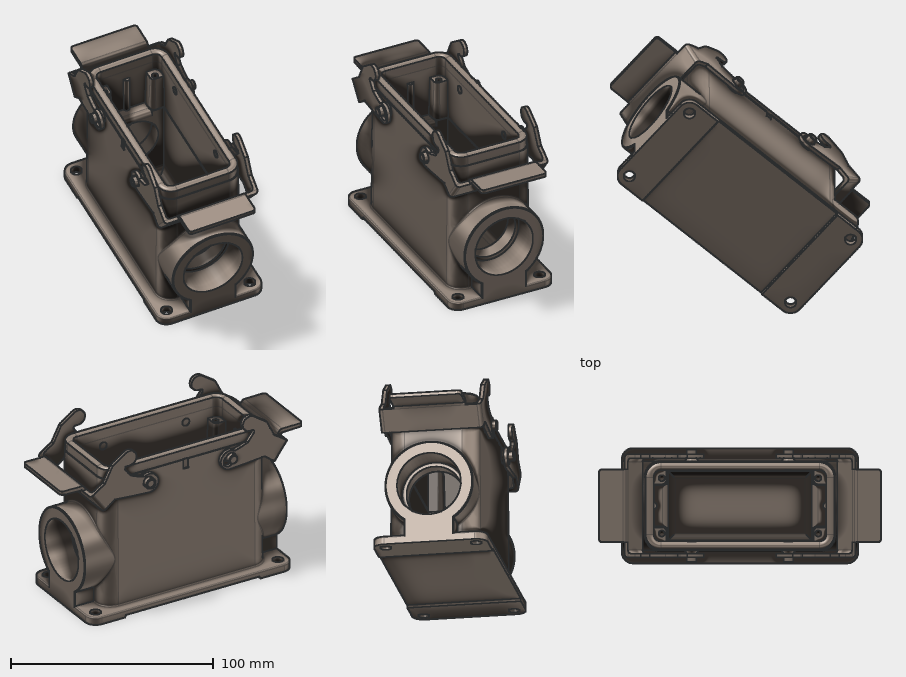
import cadquery as cq
import math

BASE_HALF_X = 58.4
BASE_WIDTH = 57.0
BASE_HALF_Y = BASE_WIDTH / 2
BASE_HEIGHT = 4.2
BASE_CORNER_RADIUS = 5.9
BASE_EDGE_RADIUS = 0.5
MOUNT_HOLE_DIAMETER = 5.6
MOUNT_HOLE_X = BASE_HALF_X - BASE_CORNER_RADIUS
MOUNT_HOLE_Y = BASE_HALF_Y - BASE_CORNER_RADIUS
RELIEF_HALF_X = 39.0
RELIEF_DEPTH = 1.3
RELIEF_END_SLOPE = 0.5

BODY_TOP_HALF_X = 46.8
BODY_TOP_HALF_Y = 21.9
BODY_CORNER_RADIUS = 7.5
BODY_TOP = 75.0
BODY_DRAFT = 0.5
BODY_FOOT_HALF_X = BODY_TOP_HALF_X + BODY_DRAFT
BODY_FOOT_HALF_Y = BODY_TOP_HALF_Y + BODY_DRAFT
BODY_FOOT_RADIUS = 0.7

RIM_HALF_X = 46.5
RIM_HALF_Y = 21.5
RIM_CORNER_RADIUS = 7.4
RIM_SHOULDER = 80.2
RIM_TOP = 81.1
RIM_WALL = 3.9

UPPER_HALF_X = RIM_HALF_X - RIM_WALL
UPPER_HALF_Y = RIM_HALF_Y - RIM_WALL
UPPER_CORNER_RADIUS = RIM_CORNER_RADIUS - RIM_WALL
UPPER_DRAFT = 0.3
LEDGE_HEIGHT = 48.1
LEDGE_EDGE_RADIUS = 2.9
LOWER_HALF_X = 35.4
LOWER_HALF_Y = 17.0
FLOOR_HEIGHT = 4.2
FLOOR_RADIUS = 3.5
POST_INNER_X = 36.4
POST_INNER_Y = 10.7
POST_TOP = 69.3
POST_CORNER_RADIUS = 2.0
POST_DRAFT = 0.7
POST_HOLE_DIAMETER = 3.0
POST_HOLE_DEPTH = 11.2
POST_HOLE_X = 38.6
POST_HOLE_Y = 13.7
END_RIB_RADIUS = 1.7

ENTRY_HEIGHT = 30.3
ENTRY_RADIUS = 22.0
ENTRY_EDGE_CHAMFER = 0.4
ENTRY_ROOT_RADIUS = 0.7
ENTRY_BORE_DIAMETER = 28.0
ENTRY_COUNTERBORE_DIAMETER = 32.0
ENTRY_COUNTERBORE_END_X = 43.2
ENTRY_WEB_HALF_Y = 12.4

GROOVE_WIDTH = 2.9
GROOVE_LENGTH = 5.2
GROOVE_DEPTH = 0.7

PIN_X = 23.8
PIN_HEIGHT = 70.7
PIN_DIAMETER = 4.7
PIN_END_DIAMETER = 4.0
PIN_END_Y = 28.0
PIN_INNER_RECESS = 0.1
COLLAR_DIAMETER = 7.0

SHEET = 2.0
LEVER_HALF_Y = 25.5
LEVER_INNER_Y = LEVER_HALF_Y - SHEET
LEVER_BEND_RADIUS = 1.8
EYE_X = -23.1
EYE_HEIGHT = 69.7
EYE_RADIUS = 5.2
SLOT_WIDTH = 5.6
SLOT_TRAVEL_X = 1.5
SLOT_TRAVEL_Z = -1.7
HOOK_X = -34.7
HOOK_RADIUS = 4.0
LEVER_TOP = 90.9
HOOK_HEIGHT = LEVER_TOP - HOOK_RADIUS
ARM_BACK = [(-51.9, 74.5), (-49.0, 76.3), (-44.5, 85.0), (-37.0, 90.2)]
HOOK_THROAT = [(-36.1, 82.8), (-37.2, 82.0), (-36.8, 80.9)]
ARM_FRONT = [(-33.6, 76.7), (-29.7, 75.1), (-26.0, 74.0)]
ARM_UNDERSIDE = [(-31.6, 65.1), (-43.1, 66.1)]
BAR_TOP_X = -56.9
BAR_TOP_Z = 70.8
BAR_BOTTOM_X = -49.6
BAR_BOTTOM_Z = 61.0
BAR_RUN_X = BAR_BOTTOM_X - BAR_TOP_X
BAR_RUN_Z = BAR_BOTTOM_Z - BAR_TOP_Z
BAR_RUN = math.hypot(BAR_RUN_X, BAR_RUN_Z)
BAR_INSET_X = -SHEET * BAR_RUN_Z / BAR_RUN
BAR_INSET_Z = SHEET * BAR_RUN_X / BAR_RUN
TAB_END_X = -69.7
TAB_TOP_Z = 74.2
TAB_ROOT_X = -57.6
TAB_ROOT_Z = 71.8
TAB_KNEE_X = -56.9
TAB_KNEE_Z = 74.0
TAB_HALF_Y = 18.0
TAB_CORNER_RADIUS = 1.7
TAB_KNEE_RADIUS = 2.1

SIDES = (-1, 1)
MIDDLE_OF_QUARTER = math.sqrt(0.5)
CLEAR = 1.4
CLOSE = 0.3


def rounded_block(half_x, half_y, bottom, top, radius):
    block = cq.Workplane("XY").box(2 * half_x, 2 * half_y, top - bottom, centered=(True, True, False))
    return block.edges("|Z").fillet(radius).translate((0, 0, bottom))


def drafted_block(half_x, half_y, start, end, radius, inset):
    """Rounded block, sized at `start`, whose walls lean in by `inset` (out if negative) towards `end`."""
    angle = math.degrees(math.atan(inset / abs(end - start)))
    outline = cq.Sketch().rect(2 * half_x, 2 * half_y).vertices().fillet(radius)
    return cq.Workplane("XY").workplane(offset=start).placeSketch(outline).extrude(end - start, taper=angle)


def make_base():
    base = rounded_block(BASE_HALF_X, BASE_HALF_Y, 0, BASE_HEIGHT, BASE_CORNER_RADIUS)
    return base.faces(">Z").edges().fillet(BASE_EDGE_RADIUS)


def make_rim():
    """Straight collar closed by a shallow arch that runs along the whole rim."""
    collar = rounded_block(RIM_HALF_X, RIM_HALF_Y, LEDGE_HEIGHT, RIM_SHOULDER, RIM_CORNER_RADIUS)
    middle = RIM_WALL / 2
    path_block = rounded_block(
        RIM_HALF_X - middle, RIM_HALF_Y - middle, 0, RIM_SHOULDER, RIM_CORNER_RADIUS - middle
    )
    path = path_block.faces(">Z").wires()
    arch = (
        cq.Workplane("YZ")
        .moveTo(-RIM_HALF_Y, RIM_SHOULDER)
        .threePointArc((middle - RIM_HALF_Y, RIM_TOP), (RIM_WALL - RIM_HALF_Y, RIM_SHOULDER))
        .close()
        .sweep(path)
    )
    return collar.union(arch)


def make_entry():
    """Cable entry on the -X end: a tube with a web down to the base."""
    length = BASE_HALF_X - LOWER_HALF_X
    tube = (
        cq.Workplane("YZ", origin=(-BASE_HALF_X, 0, ENTRY_HEIGHT)).circle(ENTRY_RADIUS).extrude(length)
    )
    web = (
        cq.Workplane("XY")
        .box(length, 2 * ENTRY_WEB_HALF_Y, ENTRY_HEIGHT, centered=(False, True, False))
        .translate((-BASE_HALF_X, 0, 0))
    )
    return tube.union(web).faces("<X").edges().chamfer(ENTRY_EDGE_CHAMFER)


def entry_root_edges(side_x):
    """Selector for the curves where the tube of one entry meets the drafted box."""
    near_x = side_x * (BODY_TOP_HALF_X - BODY_CORNER_RADIUS + CLEAR)
    far_x = side_x * (BODY_FOOT_HALF_X + CLEAR)
    return cq.selectors.BoxSelector(
        (near_x, -BODY_FOOT_HALF_Y - CLEAR, ENTRY_HEIGHT - ENTRY_RADIUS / 2),
        (far_x, BODY_FOOT_HALF_Y + CLEAR, ENTRY_HEIGHT + ENTRY_RADIUS + CLEAR),
    )


def make_entry_bore():
    """Stepped bore of the -X entry, wide as far as the end wall of the cavity."""
    bore = (
        cq.Workplane("YZ", origin=(-BASE_HALF_X, 0, ENTRY_HEIGHT))
        .circle(ENTRY_BORE_DIAMETER / 2)
        .extrude(BASE_HALF_X)
    )
    counterbore = (
        cq.Workplane("YZ", origin=(-BASE_HALF_X, 0, ENTRY_HEIGHT))
        .circle(ENTRY_COUNTERBORE_DIAMETER / 2)
        .extrude(BASE_HALF_X - ENTRY_COUNTERBORE_END_X)
    )
    return bore.union(counterbore)


def make_post(side_x, side_y):
    """Screw post in the (+X, +Y) corner, mirrored to the corner asked for."""
    draft_angle = math.degrees(math.atan(POST_DRAFT / (POST_TOP - LEDGE_HEIGHT)))
    post = (
        cq.Workplane("XY", origin=(0, 0, POST_TOP))
        .moveTo(UPPER_HALF_X, UPPER_HALF_Y)
        .lineTo(POST_INNER_X, UPPER_HALF_Y)
        .lineTo(POST_INNER_X, POST_INNER_Y + POST_CORNER_RADIUS)
        .radiusArc((POST_INNER_X + POST_CORNER_RADIUS, POST_INNER_Y), -POST_CORNER_RADIUS)
        .lineTo(UPPER_HALF_X, POST_INNER_Y)
        .close()
        .extrude(LEDGE_HEIGHT - POST_TOP, taper=-draft_angle)
    )
    hole_radius = POST_HOLE_DIAMETER / 2
    hole = (
        cq.Workplane("XZ")
        .polyline([
            (0, POST_TOP),
            (hole_radius, POST_TOP),
            (hole_radius, POST_TOP - POST_HOLE_DEPTH),
            (0, POST_TOP - POST_HOLE_DEPTH - hole_radius),
        ])
        .close()
        .revolve(360, (0, 0, 0), (0, 1, 0))
        .translate((POST_HOLE_X, POST_HOLE_Y, 0))
    )
    post = post.cut(hole)
    if side_x < 0:
        post = post.mirror("YZ")
    if side_y < 0:
        post = post.mirror("XZ")
    return post


def make_cavity():
    """Space inside the housing, open at the rim, with the posts and end ribs left standing."""
    mouth = rounded_block(UPPER_HALF_X, UPPER_HALF_Y, BODY_TOP, RIM_TOP, UPPER_CORNER_RADIUS)
    upper = drafted_block(
        UPPER_HALF_X, UPPER_HALF_Y, BODY_TOP, LEDGE_HEIGHT, UPPER_CORNER_RADIUS, UPPER_DRAFT
    )
    lower = (
        cq.Workplane("XY", origin=(0, 0, FLOOR_HEIGHT))
        .rect(2 * LOWER_HALF_X, 2 * LOWER_HALF_Y)
        .extrude(LEDGE_HEIGHT - FLOOR_HEIGHT)
        .faces("<Z")
        .edges()
        .fillet(FLOOR_RADIUS)
    )
    for side_x in SIDES:
        rib = (
            cq.Workplane("XY", origin=(side_x * UPPER_HALF_X, 0, LEDGE_HEIGHT))
            .circle(END_RIB_RADIUS)
            .extrude(POST_TOP - LEDGE_HEIGHT)
        )
        upper = upper.cut(rib)
        for side_y in SIDES:
            upper = upper.cut(make_post(side_x, side_y))
    cavity = mouth.union(upper).union(lower)
    edge_offset = LEDGE_EDGE_RADIUS * (1 - MIDDLE_OF_QUARTER)
    rounding = (
        cq.Workplane("XZ", origin=(0, POST_INNER_Y, 0))
        .moveTo(LOWER_HALF_X, LEDGE_HEIGHT)
        .lineTo(LOWER_HALF_X + LEDGE_EDGE_RADIUS, LEDGE_HEIGHT)
        .threePointArc(
            (LOWER_HALF_X + edge_offset, LEDGE_HEIGHT - edge_offset),
            (LOWER_HALF_X, LEDGE_HEIGHT - LEDGE_EDGE_RADIUS),
        )
        .close()
        .extrude(2 * POST_INNER_Y)
    )
    return cavity.union(rounding).union(rounding.mirror("YZ"))


def make_pin(side_x, side_y):
    """Pin outside the long wall, with a conical collar that spaces the lever from the wall."""
    pin_radius = PIN_DIAMETER / 2
    collar_radius = COLLAR_DIAMETER / 2
    root_y = RIM_HALF_Y - RIM_WALL / 2
    end_radius = PIN_END_DIAMETER / 2
    pin = (
        cq.Workplane("XY")
        .polyline([
            (0, root_y),
            (collar_radius, root_y),
            (collar_radius, BODY_TOP_HALF_Y),
            (pin_radius, LEVER_INNER_Y),
            (pin_radius, PIN_END_Y - pin_radius + end_radius),
            (end_radius, PIN_END_Y),
            (0, PIN_END_Y),
        ])
        .close()
        .revolve(360, (0, 0, 0), (0, 1, 0))
        .translate((side_x * PIN_X, 0, PIN_HEIGHT))
    )
    if side_y < 0:
        pin = pin.mirror("XZ")
    return pin


def make_pin_recesses():
    """Shallow round recesses where the pins end in the cavity walls."""
    return (
        cq.Workplane("XZ")
        .pushPoints([(side_x * PIN_X, PIN_HEIGHT) for side_x in SIDES])
        .circle(PIN_END_DIAMETER / 2)
        .extrude(UPPER_HALF_Y + PIN_INNER_RECESS, both=True)
    )


def make_housing():
    body = drafted_block(
        BODY_TOP_HALF_X, BODY_TOP_HALF_Y, BODY_TOP, BASE_HEIGHT, BODY_CORNER_RADIUS, -BODY_DRAFT
    )
    foot_edges = cq.selectors.BoxSelector(
        (-BODY_FOOT_HALF_X - CLEAR, -BODY_FOOT_HALF_Y - CLEAR, BASE_HEIGHT - CLOSE),
        (BODY_FOOT_HALF_X + CLEAR, BODY_FOOT_HALF_Y + CLEAR, BASE_HEIGHT + CLOSE),
    )
    housing = make_base().union(body).edges(foot_edges).fillet(BODY_FOOT_RADIUS)
    housing = housing.union(make_rim())
    entry = make_entry()
    housing = housing.union(entry).union(entry.mirror("YZ"))
    for side_x in SIDES:
        housing = housing.edges(entry_root_edges(side_x)).fillet(ENTRY_ROOT_RADIUS)
    housing = housing.cut(make_cavity()).cut(make_pin_recesses())
    bore = make_entry_bore()
    housing = housing.cut(bore).cut(bore.mirror("YZ"))

    holes = (
        cq.Workplane("XY")
        .rect(2 * MOUNT_HOLE_X, 2 * MOUNT_HOLE_Y, forConstruction=True)
        .vertices()
        .circle(MOUNT_HOLE_DIAMETER / 2)
        .extrude(BASE_HEIGHT)
    )
    relief = (
        cq.Workplane("XZ", origin=(0, BASE_HALF_Y, 0))
        .polyline([
            (-RELIEF_HALF_X, 0),
            (RELIEF_HALF_X, 0),
            (RELIEF_HALF_X - RELIEF_END_SLOPE, RELIEF_DEPTH),
            (RELIEF_END_SLOPE - RELIEF_HALF_X, RELIEF_DEPTH),
        ])
        .close()
        .extrude(2 * BASE_HALF_Y)
    )
    groove_back_y = GROOVE_DEPTH - BODY_TOP_HALF_Y
    groove = (
        cq.Workplane("XY")
        .box(GROOVE_WIDTH, BODY_TOP_HALF_Y, GROOVE_LENGTH, centered=(True, False, False))
        .translate((0, groove_back_y - BODY_TOP_HALF_Y, BODY_TOP - GROOVE_LENGTH))
    )
    housing = housing.cut(holes).cut(relief).cut(groove)
    for side_x in SIDES:
        for side_y in SIDES:
            housing = housing.union(make_pin(side_x, side_y))
    return housing


def make_lever_sheet():
    """Side sheet of the -X lever, drawn in XZ and as wide as the whole lever."""
    throat_start, throat_middle, throat_end = HOOK_THROAT
    arm = (
        cq.Workplane("XZ")
        .polyline([
            (BAR_BOTTOM_X, BAR_BOTTOM_Z),
            (BAR_TOP_X, BAR_TOP_Z),
            (BAR_TOP_X + BAR_INSET_X, BAR_TOP_Z + BAR_INSET_Z),
            *ARM_BACK,
        ])
        .threePointArc((HOOK_X + HOOK_RADIUS, HOOK_HEIGHT), (HOOK_X, HOOK_HEIGHT - HOOK_RADIUS))
        .lineTo(*throat_start)
        .threePointArc(throat_middle, throat_end)
        .polyline(
            [*ARM_FRONT, (EYE_X, EYE_HEIGHT), (EYE_X, EYE_HEIGHT - EYE_RADIUS), *ARM_UNDERSIDE],
            includeCurrent=True,
        )
        .close()
        .extrude(LEVER_HALF_Y, both=True)
    )
    eye = (
        cq.Workplane("XZ", origin=(EYE_X, 0, EYE_HEIGHT))
        .circle(EYE_RADIUS)
        .extrude(LEVER_HALF_Y, both=True)
    )
    slot_angle = math.degrees(math.atan2(SLOT_TRAVEL_Z, SLOT_TRAVEL_X))
    slot_length = math.hypot(SLOT_TRAVEL_X, SLOT_TRAVEL_Z) + SLOT_WIDTH
    slot = (
        cq.Workplane("XZ", origin=(SLOT_TRAVEL_X / 2 - PIN_X, 0, PIN_HEIGHT + SLOT_TRAVEL_Z / 2))
        .slot2D(slot_length, SLOT_WIDTH, slot_angle)
        .extrude(LEVER_HALF_Y, both=True)
    )
    return arm.union(eye).cut(slot)


def round_bend(lever, middle_x, half_y):
    """Round the two sloping edges of the bar whose middles lie at (middle_x, +-half_y)."""
    middle_z = (BAR_TOP_Z + BAR_BOTTOM_Z) / 2
    for side_y in SIDES:
        near_bend = cq.selectors.BoxSelector(
            (middle_x - CLOSE, side_y * half_y - CLOSE, middle_z - CLEAR),
            (middle_x + CLOSE, side_y * half_y + CLOSE, middle_z + CLEAR),
        )
        lever = lever.edges(near_bend).fillet(LEVER_BEND_RADIUS)
    return lever


def make_lever():
    """Lever on the -X end: two side sheets, the bar that joins them and a handle tab."""
    sheet = make_lever_sheet()
    between = (
        cq.Workplane("XZ")
        .polyline([
            (BAR_BOTTOM_X + BAR_INSET_X + BAR_RUN_X, BAR_BOTTOM_Z + BAR_INSET_Z + BAR_RUN_Z),
            (BAR_TOP_X + BAR_INSET_X - 2 * BAR_RUN_X, BAR_TOP_Z + BAR_INSET_Z - 2 * BAR_RUN_Z),
            (0, BAR_TOP_Z - 2 * BAR_RUN_Z),
            (0, BAR_BOTTOM_Z + BAR_RUN_Z),
        ])
        .close()
        .extrude(LEVER_INNER_Y, both=True)
    )
    lever = sheet.cut(between)
    bar_middle_x = (BAR_TOP_X + BAR_BOTTOM_X) / 2
    lever = round_bend(lever, bar_middle_x, LEVER_HALF_Y)
    lever = round_bend(lever, bar_middle_x + BAR_INSET_X, LEVER_INNER_Y)
    knee = cq.selectors.NearestToPointSelector((TAB_KNEE_X, 0, TAB_KNEE_Z))
    tab = (
        cq.Workplane("XZ")
        .polyline([
            (BAR_TOP_X, BAR_TOP_Z),
            (TAB_ROOT_X, TAB_ROOT_Z),
            (TAB_END_X, TAB_TOP_Z - SHEET),
            (TAB_END_X, TAB_TOP_Z),
            (TAB_KNEE_X, TAB_KNEE_Z),
            (BAR_TOP_X + BAR_INSET_X, BAR_TOP_Z + BAR_INSET_Z),
        ])
        .close()
        .extrude(TAB_HALF_Y, both=True)
        .edges("|Z and <X")
        .fillet(TAB_CORNER_RADIUS)
        .edges(knee)
        .fillet(TAB_KNEE_RADIUS)
    )
    return lever.union(tab)


housing = make_housing()
left_lever = make_lever()
right_lever = left_lever.mirror("YZ")
result = cq.Compound.makeCompound([housing.val(), left_lever.val(), right_lever.val()])